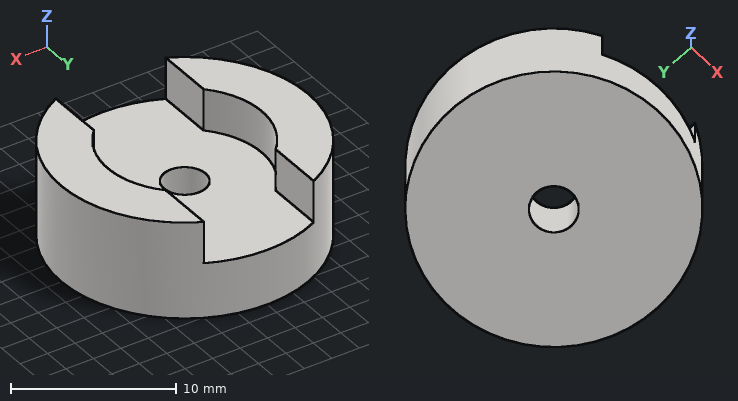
import cadquery as cq

outer_diameter = 18.0
height = 7.0

slot_width = 8.0
slot_depth = 3.0
recess_diameter = 11.2

hole_diameter = 3.0

floor_height = height - slot_depth


def make_slot():
    """Straight channel joined with the round recess, both down to the same floor."""
    floor = cq.Workplane("XY").workplane(offset=floor_height)
    channel = floor.rect(slot_width, outer_diameter).extrude(slot_depth)
    recess = floor.circle(recess_diameter / 2).extrude(slot_depth)
    return channel.union(recess)


disc = cq.Workplane("XY").circle(outer_diameter / 2).extrude(height)
hole = cq.Workplane("XY").circle(hole_diameter / 2).extrude(height)

result = disc.cut(make_slot()).cut(hole)